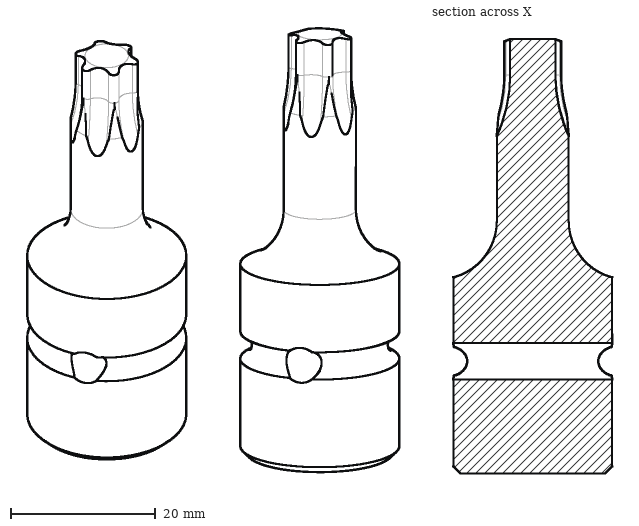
import math

import cadquery as cq

total_height = 60.0
body_radius = 11.0
shaft_radius = 5.0
bottom_chamfer = 1.0

shoulder_radius = 8.0
shoulder_top_z = 34.85

pin_z = 15.5
pin_hole_diameter = 5.0
groove_width = 3.9
groove_depth = 1.6

lobe_count = 6
tip_length = 5.0
tip_radius = 4.45
valley_radius = 3.15
lobe_round = 0.75
end_flat_radius = 3.0
end_bevel_angle = 15.0

neck_base_z = 49.5
runout_radius = 20.0
runout_angle = 30.0

crest_stock = 0.02
cutter_reach = 7.0
cutter_overlap_angle = math.radians(8.0)

half_pitch = math.pi / lobe_count
pitch_degrees = 360.0 / lobe_count
tip_base_z = total_height - tip_length
shoulder_axis_r = shaft_radius + shoulder_radius
blank_tip_radius = tip_radius + crest_stock
end_bevel_height = (blank_tip_radius - end_flat_radius) * math.tan(math.radians(end_bevel_angle))

lobe_center = tip_radius - lobe_round
lobe_axis_x = lobe_center * math.cos(half_pitch)
lobe_axis_y = lobe_center * math.sin(half_pitch)
valley_gap = lobe_axis_x - valley_radius
valley_round = (valley_gap**2 + lobe_axis_y**2 - lobe_round**2) / (2 * (lobe_round + valley_gap))
valley_axis_x = valley_radius + valley_round


def arc_midpoint(center, radius, start, end):
    """Point halfway along the short arc from start to end."""
    direction = math.atan2(
        (start[1] + end[1]) / 2 - center[1],
        (start[0] + end[0]) / 2 - center[0],
    )
    return (
        center[0] + radius * math.cos(direction),
        center[1] + radius * math.sin(direction),
    )


def turned_blank():
    """Body, groove, shoulder, shaft and tip as one revolved (radius, z) outline."""
    groove_bottom = (body_radius, pin_z - groove_width / 2)
    groove_floor = (body_radius - groove_depth, pin_z)
    groove_top = (body_radius, pin_z + groove_width / 2)

    shoulder_center = (shoulder_axis_r, shoulder_top_z)
    shoulder_drop = math.sqrt(shoulder_radius**2 - (shoulder_axis_r - body_radius) ** 2)
    shoulder_start = (body_radius, shoulder_top_z - shoulder_drop)
    shoulder_end = (shaft_radius, shoulder_top_z)
    shoulder_mid = arc_midpoint(shoulder_center, shoulder_radius, shoulder_start, shoulder_end)

    neck_axis_r = blank_tip_radius + runout_radius
    neck_rise = math.sqrt(runout_radius**2 - (neck_axis_r - shaft_radius) ** 2)
    neck_top_z = neck_base_z + neck_rise
    neck_center = (neck_axis_r, neck_top_z)
    neck_start = (shaft_radius, neck_base_z)
    neck_end = (blank_tip_radius, neck_top_z)
    neck_mid = arc_midpoint(neck_center, runout_radius, neck_start, neck_end)

    return (
        cq.Workplane("XZ")
        .moveTo(0, 0)
        .lineTo(body_radius - bottom_chamfer, 0)
        .lineTo(body_radius, bottom_chamfer)
        .lineTo(*groove_bottom)
        .threePointArc(groove_floor, groove_top)
        .lineTo(*shoulder_start)
        .threePointArc(shoulder_mid, shoulder_end)
        .lineTo(*neck_start)
        .threePointArc(neck_mid, neck_end)
        .lineTo(blank_tip_radius, total_height - end_bevel_height)
        .lineTo(end_flat_radius, total_height)
        .lineTo(0, total_height)
        .close()
        .revolve(360, (0, 0, 0), (0, 1, 0))
    )


def valley_outline():
    """Space between two neighbouring lobe crests, around the valley facing +X."""
    center = (lobe_axis_x, lobe_axis_y)
    crest = (tip_radius * math.cos(half_pitch), tip_radius * math.sin(half_pitch))
    blend = lobe_round / (lobe_round + valley_round)
    tangent = (
        lobe_axis_x + blend * (valley_axis_x - lobe_axis_x),
        lobe_axis_y * (1 - blend),
    )
    round_mid = arc_midpoint(center, lobe_round, crest, tangent)
    outer_angle = half_pitch + cutter_overlap_angle
    outer = (cutter_reach * math.cos(outer_angle), cutter_reach * math.sin(outer_angle))
    return (
        cq.Workplane("XY", origin=(0, 0, tip_base_z))
        .moveTo(*outer)
        .lineTo(*crest)
        .threePointArc(round_mid, tangent)
        .threePointArc((valley_radius, 0), (tangent[0], -tangent[1]))
        .threePointArc((round_mid[0], -round_mid[1]), (crest[0], -crest[1]))
        .lineTo(outer[0], -outer[1])
        .close()
    )


def valley_cutter():
    """Straight valley along the tip that curves outward through the shaft surface."""
    runout_axis_x = valley_radius + runout_radius
    straight = valley_outline().extrude(tip_length)
    runout = valley_outline().revolve(runout_angle, (runout_axis_x, 0, 0), (runout_axis_x, -1, 0))
    return straight.union(runout)


def pin_hole():
    """Cross hole along Y through the groove."""
    return (
        cq.Workplane("XZ", origin=(0, 0, pin_z))
        .circle(pin_hole_diameter / 2)
        .extrude(body_radius, both=True)
    )


result = turned_blank().cut(pin_hole())
cutter = valley_cutter()
for index in range(lobe_count):
    valley_angle = (index + 0.5) * pitch_degrees
    result = result.cut(cutter.rotate((0, 0, 0), (0, 0, 1), valley_angle))